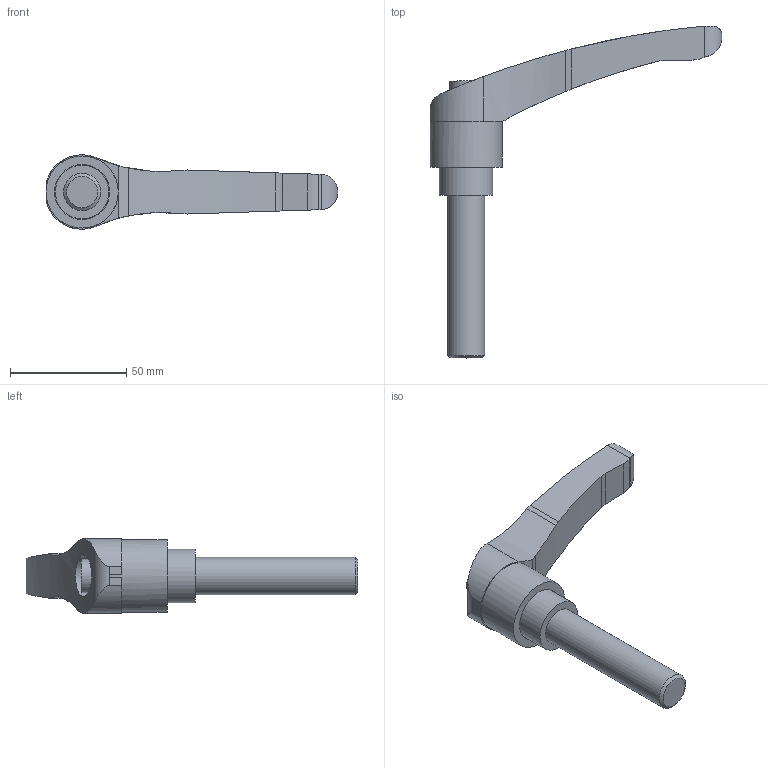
import cadquery as cq
import math


STUD_DIAMETER = 16.0
STUD_LENGTH = 70.0
STUD_END_CHAMFER = (1.0, 1.3)
BUSHING_DIAMETER = 23.0
BUSHING_LENGTH = 12.0
BUSHING_BORE_DIAMETER = 23.7
STUD_END_Y = -(BUSHING_LENGTH + STUD_LENGTH)

COLLAR_DIAMETER = 31.0
HUB_DIAMETER = 32.0
HUB_BOTTOM_Y = 19.6
HUB_FLAT_X = -15.488
HUB_CORNER_RADIUS = 7.0
COLLAR_CREST_TOP_Y = 24.8

PIN_DIAMETER = 14.3
PIN_TOP_Y = 37.0
PIN_HOLE_DIAMETER = 17.5
PIN_HOLE_FLOOR_Y = 27.0

TOP_Y = 60.63
TIP_X = 109.91
TOP_ARC_RADIUS = 366.0
TOP_ARC_START_Y = 29.4
TOP_ARC_END_X = 102.3
BOTTOM_ARC_RADIUS = 288.0
HUB_BOTTOM_END_X = 15.7
BOTTOM_ARC_START = (19.9, 22.0)
GRIP_FLAT_START_X = 84.7
GRIP_FLAT_Y = 46.0
GRIP_FLAT_END_X = 97.0
GRIP_FILLET_RADIUS = 12.0
TIP_BLEND_MIDDLE = (99.4, 46.26)
TIP_BLEND_END = (101.7, 46.97)
TIP_ARC_START = (102.9, 47.4)
TIP_ARC_MIDDLE = (107.0, 49.5)
TIP_ARC_END_Y = 56.0
TIP_CORNER_RADIUS = 4.0

FLANK_START_X = 7.4
FLANK_RADIUS = 68.0
SHOULDER_X = 43.9
SHOULDER_HALF_WIDTH = 9.5
SHOULDER_FILLET_RADIUS = 16.0
TIP_HALF_WIDTH = 7.6
TIP_CENTER_X = TIP_X - TIP_HALF_WIDTH


def arc_middle(start, end, radius):
    """Middle of the short arc from start to end that bulges to the left of that direction."""
    dx = end[0] - start[0]
    dy = end[1] - start[1]
    chord = math.hypot(dx, dy)
    sagitta = radius - math.sqrt(radius**2 - (chord / 2) ** 2)
    return (
        (start[0] + end[0]) / 2 - sagitta * dy / chord,
        (start[1] + end[1]) / 2 + sagitta * dx / chord,
    )


def cylinder(diameter, bottom_y, top_y):
    """Solid cylinder on the Y axis."""
    disc = cq.Workplane("XZ", origin=(0, bottom_y, 0)).circle(diameter / 2)
    return disc.extrude(bottom_y - top_y)


def edges_along(body, axis, x, y_or_z):
    """Edges parallel to Z (or Y) that pass through the given X and Y (or Z)."""
    reach = 0.05
    length = 2 * TIP_X
    if axis == "Z":
        low = (x - reach, y_or_z - reach, -length)
        high = (x + reach, y_or_z + reach, length)
    else:
        low = (x - reach, -length, y_or_z - reach)
        high = (x + reach, length, y_or_z + reach)
    return body.edges("|" + axis).edges(cq.selectors.BoxSelector(low, high, boundingbox=True))


def make_side_body():
    """Curved lever profile, extruded across the full hub width."""
    top_start = (HUB_FLAT_X, TOP_ARC_START_Y)
    top_end = (TOP_ARC_END_X, TOP_Y)
    bottom_end = (GRIP_FLAT_START_X, GRIP_FLAT_Y)
    body = (
        cq.Workplane("XY")
        .moveTo(HUB_FLAT_X, HUB_BOTTOM_Y)
        .lineTo(*top_start)
        .threePointArc(arc_middle(top_start, top_end, TOP_ARC_RADIUS), top_end)
        .lineTo(TIP_X, TOP_Y)
        .lineTo(TIP_X, TIP_ARC_END_Y)
        .threePointArc(TIP_ARC_MIDDLE, TIP_ARC_START)
        .lineTo(*TIP_BLEND_END)
        .threePointArc(TIP_BLEND_MIDDLE, (GRIP_FLAT_END_X, GRIP_FLAT_Y))
        .lineTo(*bottom_end)
        .threePointArc(arc_middle(BOTTOM_ARC_START, bottom_end, BOTTOM_ARC_RADIUS), BOTTOM_ARC_START)
        .lineTo(HUB_BOTTOM_END_X, HUB_BOTTOM_Y)
        .close()
        .extrude(HUB_DIAMETER / 2, both=True)
    )
    body = edges_along(body, "Z", *top_start).fillet(HUB_CORNER_RADIUS)
    body = edges_along(body, "Z", TIP_X, TOP_Y).fillet(TIP_CORNER_RADIUS)
    return edges_along(body, "Z", *bottom_end).fillet(GRIP_FILLET_RADIUS)


def make_plan_body():
    """Outline seen along the stud axis: round hub, waisted flanks, tapered grip and round tip."""
    hub_radius = HUB_DIAMETER / 2
    flank_start_z = math.sqrt(hub_radius**2 - FLANK_START_X**2)
    flank_start = (FLANK_START_X, flank_start_z)
    shoulder = (SHOULDER_X, SHOULDER_HALF_WIDTH)
    flank_middle = arc_middle(shoulder, flank_start, FLANK_RADIUS)

    def mirrored(point):
        return (point[0], -point[1])

    body = (
        cq.Workplane("XZ", origin=(0, HUB_BOTTOM_Y, 0))
        .moveTo(*mirrored(flank_start))
        .threePointArc((-hub_radius, 0), flank_start)
        .threePointArc(flank_middle, shoulder)
        .lineTo(TIP_CENTER_X, TIP_HALF_WIDTH)
        .threePointArc((TIP_X, 0), (TIP_CENTER_X, -TIP_HALF_WIDTH))
        .lineTo(*mirrored(shoulder))
        .threePointArc(mirrored(flank_middle), mirrored(flank_start))
        .close()
        .extrude(HUB_BOTTOM_Y - TOP_Y)
    )
    for side in (-1, 1):
        shoulder_edge = edges_along(body, "Y", SHOULDER_X, side * SHOULDER_HALF_WIDTH)
        body = shoulder_edge.fillet(SHOULDER_FILLET_RADIUS)
    return body


def make_handle():
    """Lever and collar, with the bushing bore below and the pin hole above."""
    lever = make_side_body().intersect(make_plan_body())
    collar = cylinder(COLLAR_DIAMETER, 0, COLLAR_CREST_TOP_Y)
    bore = cylinder(BUSHING_BORE_DIAMETER, 0, HUB_BOTTOM_Y)
    pin_hole = cylinder(PIN_HOLE_DIAMETER, PIN_HOLE_FLOOR_Y, TOP_Y)
    return lever.union(collar).cut(bore).cut(pin_hole)


def make_stud():
    """Chamfered stud, bushing and pin on the Y axis."""
    stud = cylinder(STUD_DIAMETER, STUD_END_Y, -BUSHING_LENGTH)
    stud = stud.faces("<Y").chamfer(*STUD_END_CHAMFER)
    bushing = cylinder(BUSHING_DIAMETER, -BUSHING_LENGTH, HUB_BOTTOM_Y)
    pin = cylinder(PIN_DIAMETER, PIN_HOLE_FLOOR_Y, PIN_TOP_Y)
    return stud.union(bushing).union(pin)


result = make_handle().union(make_stud())